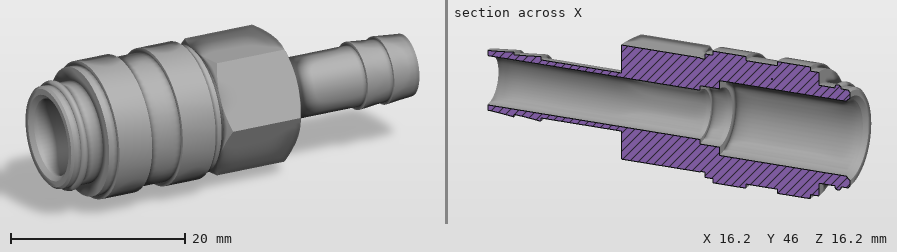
import cadquery as cq
import math

total_length = 46.0

nose_radius = 6.03
rim_chamfer = 0.28
bead_start = 1.1
bead_end = 2.0
nose_end = 3.95

sleeve_radius = 7.6
band_radius = 8.1
front_band_start = 5.0
rear_band_start = 13.2
band_length = 4.25
sleeve_end = 18.45

neck_radius = 6.95
hex_start = 19.05
hex_end = 29.03
hex_corner_radius = 8.1
hex_face_radius = 7.0
hex_chamfer = (hex_corner_radius - hex_face_radius) * math.tan(math.radians(30))

stem_radius = 3.6
barb_start = 39.2
barb_count = 2
barb_length = (total_length - barb_start) / barb_count
barb_large_radius = 4.0
barb_small_radius = 3.7

through_radius = 3.0
seat_radius = 3.55
socket_radius = 4.55
lead_in_radius = 5.05
lead_in_depth = 0.5
socket_depth = 16.55
seat_depth = 19.05


def cylinder(radius, start, end):
    """Solid cylinder on the Y axis between two Y positions."""
    return cq.Workplane("XZ", origin=(0, start, 0)).circle(radius).extrude(start - end)


def cone(start_radius, end_radius, start, end):
    """Solid truncated cone on the Y axis between two Y positions."""
    outline = [(0, start), (start_radius, start), (end_radius, end), (0, end)]
    return cq.Workplane("XY").polyline(outline).close().revolve(360, (0, 0), (0, 1))


def make_nose():
    nose = cylinder(nose_radius, 0, nose_end).faces("<Y").chamfer(rim_chamfer)
    bead_height = (bead_end - bead_start) / 2
    bead_middle = bead_start + bead_height
    diagonal = bead_height * math.sqrt(0.5)
    bead = (
        cq.Workplane("XY")
        .moveTo(0, bead_start)
        .lineTo(nose_radius, bead_start)
        .threePointArc(
            (nose_radius + diagonal, bead_middle - diagonal),
            (nose_radius + bead_height, bead_middle),
        )
        .threePointArc((nose_radius + diagonal, bead_middle + diagonal), (nose_radius, bead_end))
        .lineTo(0, bead_end)
        .close()
        .revolve(360, (0, 0), (0, 1))
    )
    return nose.union(bead)


def make_sleeve():
    sleeve = cylinder(sleeve_radius, nose_end, sleeve_end)
    for start in (front_band_start, rear_band_start):
        sleeve = sleeve.union(cylinder(band_radius, start, start + band_length))
    return sleeve


def make_hexagon():
    prism = (
        cq.Workplane("XZ", origin=(0, hex_start, 0))
        .polygon(6, 2 * hex_corner_radius)
        .extrude(hex_start - hex_end)
    )
    front_shoulder = hex_start + hex_chamfer
    rear_shoulder = hex_end - hex_chamfer
    envelope = (
        cone(hex_face_radius, hex_corner_radius, hex_start, front_shoulder)
        .union(cylinder(hex_corner_radius, front_shoulder, rear_shoulder))
        .union(cone(hex_corner_radius, hex_face_radius, rear_shoulder, hex_end))
    )
    return prism.intersect(envelope)


def make_hose_tail():
    tail = cylinder(stem_radius, hex_end, barb_start)
    for index in range(barb_count):
        start = barb_start + index * barb_length
        tail = tail.union(cone(barb_large_radius, barb_small_radius, start, start + barb_length))
    return tail


def make_bore():
    return (
        cylinder(through_radius, 0, total_length)
        .union(cylinder(seat_radius, 0, seat_depth))
        .union(cylinder(socket_radius, 0, socket_depth))
        .union(cone(lead_in_radius, socket_radius, 0, lead_in_depth))
    )


body = make_nose().union(make_sleeve())
body = body.union(cylinder(neck_radius, sleeve_end, hex_start))
body = body.union(make_hexagon()).union(make_hose_tail())
result = body.cut(make_bore())